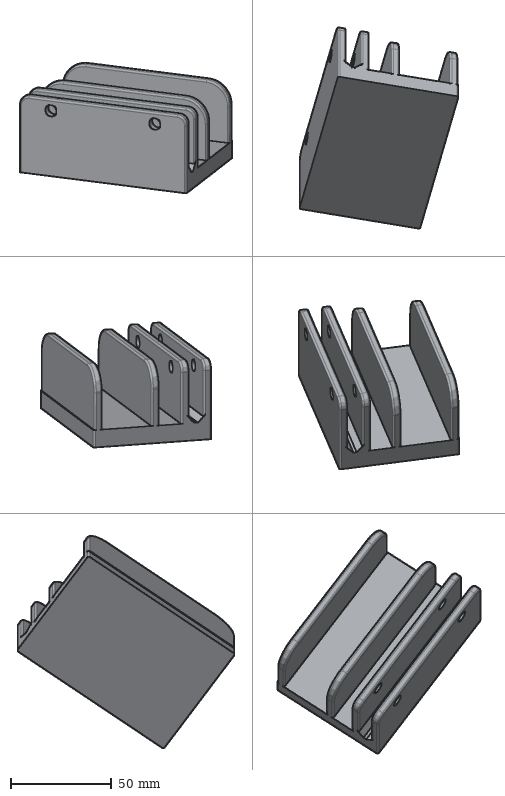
import cadquery as cq

length = 90.0
depth = 61.7
height = 40.6

base_height = 9.0

plate_thickness = 4.2
edge_radius = 1.0
small_corner_radius = 5.0
large_corner_radius = 12.5
slot_width = 7.6
middle_plate_y = 27.4
back_plate_setback = 0.4

v_floor_width = 1.6

hole_diameter = 6.0
hole_spacing = 56.0
hole_drop = 6.1

second_plate_y = plate_thickness + slot_width
back_plate_y = depth - back_plate_setback - plate_thickness
slot_center_y = plate_thickness + slot_width / 2


def make_base():
    """Slab with rounded vertical corners."""
    slab = cq.Workplane("XY").box(length, depth, base_height, centered=(True, False, False))
    return slab.edges("|Z").fillet(edge_radius)


def make_plate(front_y, corner_radius, bottom_z):
    """Upright plate with two rounded upper corners and a rounded rim around both faces."""
    plate = (
        cq.Workplane("XY")
        .box(length, plate_thickness, height - bottom_z, centered=(True, False, False))
        .translate((0, front_y, bottom_z))
    )
    plate = plate.edges("|Y and >Z").fillet(corner_radius)
    rim = plate.faces("<Y or >Y").edges("not <Z")
    return rim.fillet(edge_radius)


def make_v_wedge(side):
    """45 degree bank on one side of the slot floor, running slightly into the plate's rounded rim."""
    bank_run = (slot_width - v_floor_width) / 2 + edge_radius
    inner_y = slot_center_y + side * v_floor_width / 2
    outer_y = inner_y + side * bank_run
    return (
        cq.Workplane("YZ")
        .moveTo(inner_y, base_height)
        .lineTo(outer_y, base_height + bank_run)
        .lineTo(outer_y, base_height)
        .close()
        .extrude(length / 2, both=True)
    )


def make_screw_holes():
    """Two cylinders that pass through the front pair of plates."""
    hole_reach = second_plate_y + plate_thickness
    return (
        cq.Workplane("XZ", origin=(0, 0, height - hole_drop))
        .pushPoints([(-hole_spacing / 2, 0), (hole_spacing / 2, 0)])
        .circle(hole_diameter / 2)
        .extrude(-hole_reach)
    )


plates = [
    (0, small_corner_radius, 0),
    (second_plate_y, small_corner_radius, base_height),
    (middle_plate_y, large_corner_radius, base_height),
    (back_plate_y, large_corner_radius, base_height),
]

body = make_base()
for front_y, corner_radius, bottom_z in plates:
    body = body.union(make_plate(front_y, corner_radius, bottom_z))
for side in (-1, 1):
    body = body.union(make_v_wedge(side))

result = body.cut(make_screw_holes()).translate((0, -depth / 2, 0))